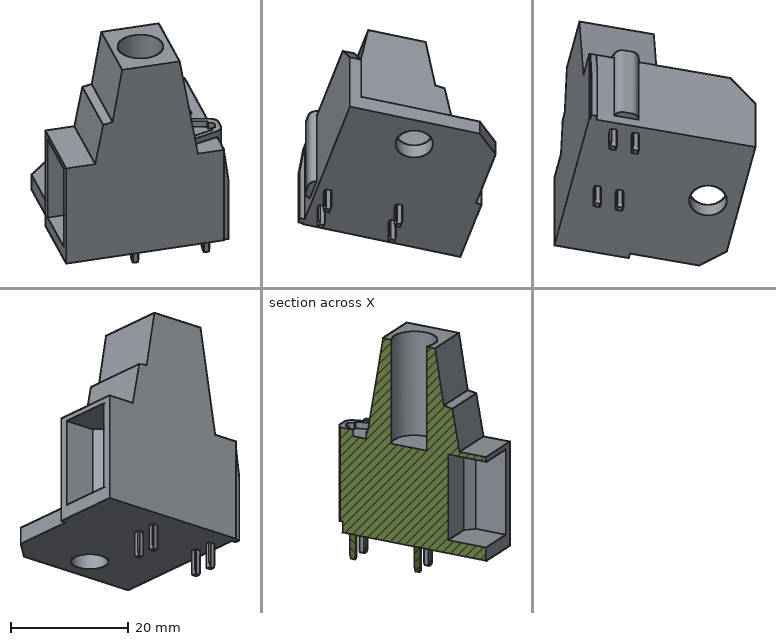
import cadquery as cq
import math


tower_width = 13.0
block_depth = 28.0
block_height = 19.0
total_height = 41.5
tower_height = 37.0
screw_depth = 13.0
tower_top_length = 10.2
tower_back_foot = 4.65
step_height = 26.9
step_inner_depth = 19.8
step_outer_depth = 21.45
step_drop = 0.3
tower_front_foot = 22.85

flange_width = 16.0
flange_depth = 27.0
flange_thickness = 3.0
flange_chamfer = 4.0
wall_thickness = 2.05
wall_height = 18.05
wall_chamfer_x = 4.4
wall_chamfer_z = 5.98
flange_hole_diameter = 6.4
flange_hole_inset = 5.48

screw_hole_diameter = 7.8
pocket_width = 10.0
pocket_floor = 2.5
pocket_depth = 7.35
pocket_corner = 1.55

rail_bottom = 2.0
rail_top = 19.2
rail_projection = 1.08
rail_half_width = 3.53
rail_flank_tilt = math.radians(16.7)
rail_corner_radius = 1.5
rail_rim = 0.85
recess_shoulder_depth = 0.7
recess_lobe_radius = 0.95

rib_width = 1.05
rib_edge_inset = 0.2
rib_projection = 0.85
rib_taper_height = 6.22

pin_width = 1.25
pin_length = total_height - tower_height
pin_edge_chamfer = 0.23
pin_tip_drop = 0.5
pin_tip_taper = 0.25
pin_tip_taper_height = 0.9
pin_pitch_x = 3.85
pin_back_depth = 2.0
pin_pitch_y = 12.57

tower_left = -tower_width / 2
tower_right = tower_width / 2
flange_left = tower_left - flange_width


def prism_along_x(points, x_start, x_end):
    """Extrude a (Y, Z) outline from x_start to x_end."""
    outline = cq.Workplane("YZ", origin=(x_start, 0, 0)).polyline(points).close()
    return outline.extrude(x_end - x_start)


def prism_along_z(points, z_start, z_end):
    """Extrude an (X, Y) outline from z_start to z_end."""
    outline = cq.Workplane("XY", origin=(0, 0, z_start)).polyline(points).close()
    return outline.extrude(z_end - z_start)


def tower():
    """Tapered screw tower with a stepped front slope, standing on the wire block."""
    points = [
        (0, 0),
        (0, wall_height),
        (-tower_back_foot, wall_height),
        (-screw_depth + tower_top_length / 2, tower_height),
        (-screw_depth - tower_top_length / 2, tower_height),
        (-step_inner_depth, step_height),
        (-step_outer_depth, step_height - step_drop),
        (-tower_front_foot, block_height),
        (-block_depth, block_height),
        (-block_depth, 0),
    ]
    return prism_along_x(points, tower_left, tower_right)


def flange():
    """Floor plate with a chamfered free corner and a mounting hole."""
    points = [
        (tower_left, 0),
        (flange_left, 0),
        (flange_left, -flange_depth + flange_chamfer),
        (flange_left + flange_chamfer, -flange_depth),
        (tower_left, -flange_depth),
    ]
    hole = (
        cq.Workplane("XY")
        .center(flange_left + flange_hole_inset, -screw_depth)
        .circle(flange_hole_diameter / 2)
        .extrude(flange_thickness)
    )
    return prism_along_z(points, 0, flange_thickness).cut(hole)


def back_wall():
    """Upright wall along the back of the flange, with a sloped free corner."""
    points = [
        (flange_left, 0),
        (flange_left, wall_height - wall_chamfer_z),
        (flange_left + wall_chamfer_x, wall_height),
        (tower_left, wall_height),
        (tower_left, 0),
    ]
    return cq.Workplane("XZ").polyline(points).close().extrude(wall_thickness)


def wire_pocket():
    """Pocket entering from the front, with its two rear upright corners chamfered."""
    pocket = cq.Workplane("XY").box(
        pocket_width, pocket_depth, wall_height - pocket_floor, centered=(True, False, False)
    )
    pocket = pocket.edges("|Z and >Y").chamfer(pocket_corner)
    return pocket.translate((0, -block_depth, pocket_floor))


def screw_hole():
    """Round hole from the tower top down to the level of the wall top."""
    return (
        cq.Workplane("XY", origin=(0, -screw_depth, wall_height))
        .circle(screw_hole_diameter / 2)
        .extrude(tower_height - wall_height)
    )


def rail_flank(y, offset):
    """Half width at y of the rail outline moved inwards by offset."""
    flank = rail_half_width - (y + tower_back_foot) * math.tan(rail_flank_tilt)
    return flank - offset / math.cos(rail_flank_tilt)


def tapered_prism(y_front, y_back, offset, z_start, z_end):
    """Upright prism between the rail flanks, running from y_front to y_back."""
    front = rail_flank(y_front, offset)
    back = rail_flank(y_back, offset)
    points = [(-front, y_front), (front, y_front), (back, y_back), (-back, y_back)]
    return prism_along_z(points, z_start, z_end)


def rail():
    """Dovetail rail rooted in the tower; its top recess goes down to the level of the wall top."""
    body = tapered_prism(-screw_depth, rail_projection, 0, rail_bottom, rail_top)
    body = body.edges("|Z and >Y").fillet(rail_corner_radius)
    recess = tapered_prism(-tower_back_foot, -recess_shoulder_depth, rail_rim, wall_height, rail_top)
    lobe = (
        cq.Workplane("XY", origin=(0, -recess_shoulder_depth, wall_height))
        .circle(recess_lobe_radius)
        .extrude(rail_top - wall_height)
    )
    return body.cut(recess).cut(lobe)


def latch_rib():
    """Narrow rib on the back that tapers into the wall top."""
    points = [
        (0, 0),
        (rib_projection, 0),
        (rib_projection, wall_height - rib_taper_height),
        (0, wall_height),
    ]
    rib_right = tower_right - rib_edge_inset
    return prism_along_x(points, rib_right - rib_width, rib_right)


def make_housing():
    """Join all housing features and open the wire pocket and the screw hole."""
    solid_parts = tower().union(flange()).union(back_wall()).union(rail()).union(latch_rib())
    return solid_parts.cut(wire_pocket()).cut(screw_hole())


def make_pin(x, y):
    """Square pin hanging below the housing: chamfered edges, its tip rounded in X and tapered in Y."""
    half = pin_width / 2
    pin = (
        cq.Workplane("XY", origin=(0, 0, -pin_length))
        .rect(pin_width, pin_width)
        .extrude(pin_length)
        .edges("|Z")
        .chamfer(pin_edge_chamfer)
    )
    tip_axis_z = pin_tip_drop - pin_length
    tip_flat = math.sqrt(half**2 - pin_tip_drop**2)
    tip_rounding = (
        cq.Workplane("XZ", origin=(0, half, 0))
        .moveTo(-half, 0)
        .lineTo(-half, tip_axis_z)
        .radiusArc((-tip_flat, -pin_length), -half)
        .lineTo(tip_flat, -pin_length)
        .radiusArc((half, tip_axis_z), -half)
        .lineTo(half, 0)
        .close()
        .extrude(pin_width)
    )
    tip_taper = prism_along_x(
        [
            (-half, 0),
            (-half, pin_tip_taper_height - pin_length),
            (pin_tip_taper - half, -pin_length),
            (half - pin_tip_taper, -pin_length),
            (half, pin_tip_taper_height - pin_length),
            (half, 0),
        ],
        -half,
        half,
    )
    return pin.intersect(tip_rounding).intersect(tip_taper).translate((x, y, 0))


housing = make_housing()
pins = [
    make_pin(x, -depth)
    for x in (-pin_pitch_x / 2, pin_pitch_x / 2)
    for depth in (pin_back_depth, pin_back_depth + pin_pitch_y)
]

result = cq.Compound.makeCompound([housing.val(), *[pin.val() for pin in pins]])